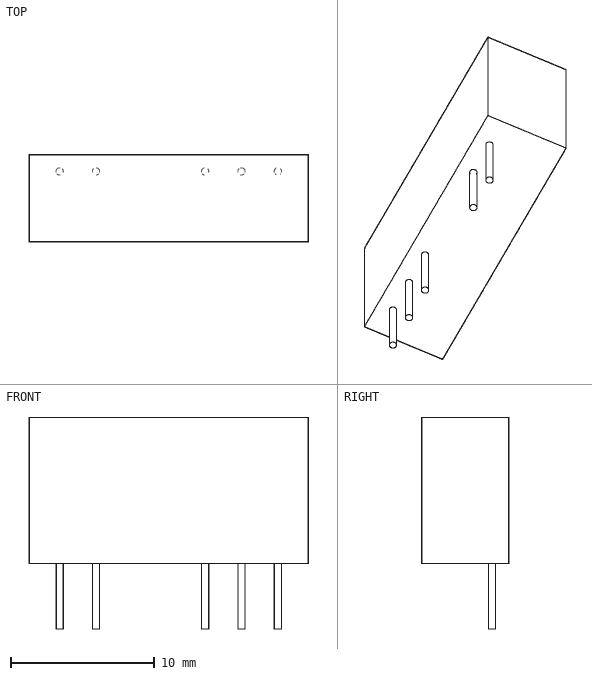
import cadquery as cq

housing_length = 19.51
housing_width = 6.1
overall_height = 14.78
pin_length = 4.57
housing_height = overall_height - pin_length

pin_diameter = 0.51
pin_pitch = 2.54
pin_slots = (-3, -2, 1, 2, 3)
pin_row_inset = 1.175
pin_row_y = housing_width / 2 - pin_row_inset


def make_housing():
    """Rectangular block standing on Z = 0, centred on X and Y."""
    return cq.Workplane("XY").box(
        housing_length, housing_width, housing_height, centered=(True, True, False)
    )


def make_pin(x):
    """Round pin hanging from the underside of the housing."""
    return (
        cq.Workplane("XY")
        .center(x, pin_row_y)
        .circle(pin_diameter / 2)
        .extrude(-pin_length)
    )


housing = make_housing()
pins = [make_pin(slot * pin_pitch) for slot in pin_slots]

result = cq.Compound.makeCompound([housing.val(), *[pin.val() for pin in pins]])